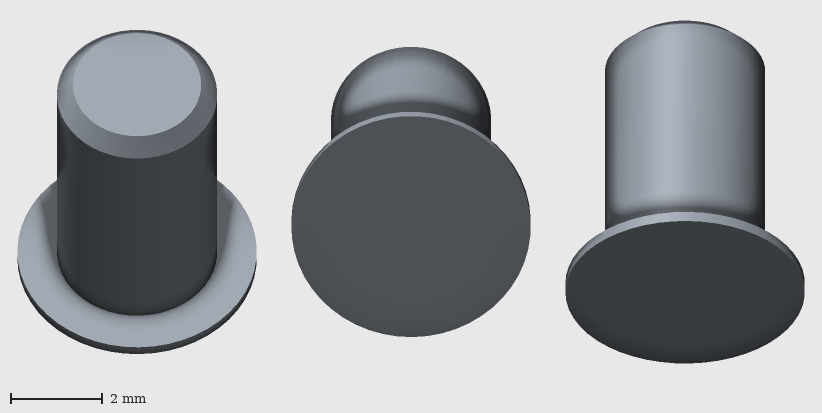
import cadquery as cq

total_height = 6.35
flange_diameter = 5.23
flange_thickness = 0.25
pin_diameter = 3.505
tip_chamfer = 0.35

flange = cq.Workplane("XY").circle(flange_diameter / 2).extrude(flange_thickness)

pin = (
    cq.Workplane("XY")
    .circle(pin_diameter / 2)
    .extrude(total_height)
    .faces(">Z")
    .edges()
    .chamfer(tip_chamfer)
)

result = flange.union(pin)